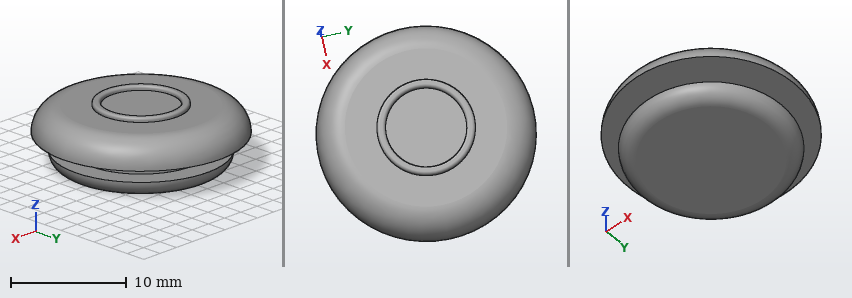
import cadquery as cq
import math

head_radius = 9.5
head_height = 2.5
neck_radius = 6.0
neck_height = 1.6
foot_radius = 8.0
foot_height = 1.5
ring_outer_radius = 4.25
ring_inner_radius = 3.5
ring_height = 0.4
ring_edge_round = 0.25

neck_bottom = foot_height
head_bottom = neck_bottom + neck_height
head_top = head_bottom + head_height

DIAGONAL = math.sqrt(0.5)


def arc_middle(center_radius, center_z, arc_radius, z_direction):
    """Midpoint of an outward-facing quarter arc, in (radius, z)."""
    offset = arc_radius * DIAGONAL
    return (center_radius + offset, center_z + z_direction * offset)


def make_body():
    """Turned body: rounded foot, narrow neck and domed head."""
    foot_flat_radius = foot_radius - foot_height
    head_flat_radius = head_radius - head_height
    foot_middle = arc_middle(foot_flat_radius, neck_bottom, foot_height, -1)
    head_middle = arc_middle(head_flat_radius, head_bottom, head_height, 1)
    profile = (
        cq.Workplane("XZ")
        .lineTo(foot_flat_radius, 0)
        .threePointArc(foot_middle, (foot_radius, neck_bottom))
        .lineTo(neck_radius, neck_bottom)
        .lineTo(neck_radius, head_bottom)
        .lineTo(head_radius, head_bottom)
        .threePointArc(head_middle, (head_flat_radius, head_top))
        .lineTo(0, head_top)
        .close()
    )
    return profile.revolve(360, (0, 0, 0), (0, 1, 0))


def make_ring():
    """Raised ring on the head, with both top edges rounded."""
    return (
        cq.Workplane("XY")
        .workplane(offset=head_top)
        .circle(ring_outer_radius)
        .circle(ring_inner_radius)
        .extrude(ring_height)
        .faces(">Z")
        .edges()
        .fillet(ring_edge_round)
    )


result = make_body().union(make_ring())